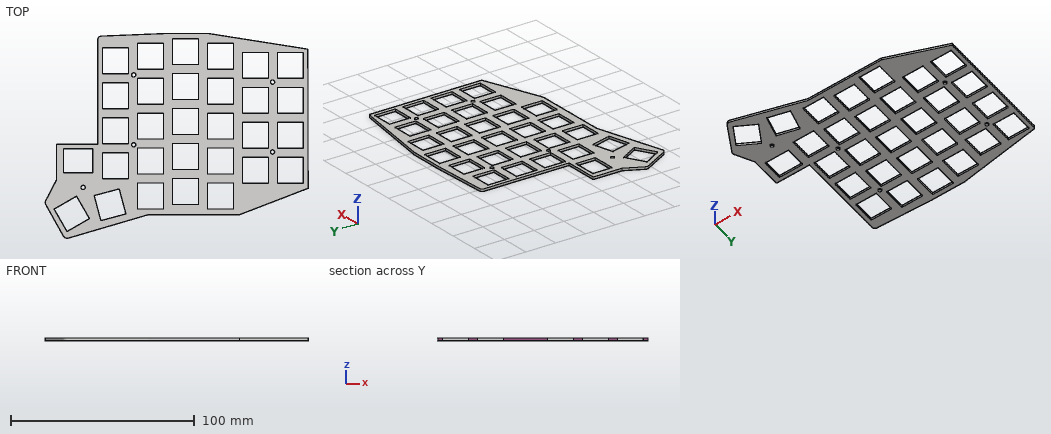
import cadquery as cq

thickness = 1.6
length = 143.37
width = 111.75
right_x = length / 2
top_y = width / 2

column_left_x = -43.1
lower_y = -43.0
upper_left = (column_left_x, 54.35)
top_left = (-5.0, top_y)
top_right = (17.1, top_y)
upper_right = (71.5, 47.3)
right_bottom = (right_x, -28.6)
bottom_right = (34.3, lower_y)
bottom_left = (-15.4, lower_y)

thumb_left_x = -65.6
thumb_top_y = -4.55
thumb_bottom = (-60.9, -56.33)
thumb_tip = (-72.02, -36.4)
thumb_neck = (thumb_left_x, -24.0)
thumb_upper_left = (thumb_left_x, thumb_top_y)
inner_corner = (column_left_x, thumb_top_y)

upper_left_radius = 2.0
upper_right_radius = 0.9
thumb_upper_left_radius = 0.5
thumb_end_radius = 2.5

key_size = 14.0
key_pitch = 19.05
first_column_x = -33.33
middle_row_y = 7.8
stagger_step = 2.5
long_column_rows = (2, 1, 0, -1, -2)
short_column_rows = (2, 1, 0, -1)

key_columns = [
    (short_column_rows, 2),
    (long_column_rows, 1),
    (long_column_rows, 0),
    (long_column_rows, 1),
    (short_column_rows, 3),
    (short_column_rows, 3),
]

key_opening = (key_size, key_size)
wide_opening = (15.8, 13.0)
thumb_openings = [
    ((-53.8, -13.6), wide_opening, 0),
    ((-36.35, -37.55), key_opening, 15),
    ((-57.2, -42.5), key_opening, 30),
]

screw_diameter = 2.2
screw_spacing = 2 * key_pitch
upper_screws = [(-23.45, 33.2), (52.2, 29.3)]
thumb_screw = (-51.0, -28.1)


def round_corner(plate, corner, radius):
    """Round the upright edge of the plate that stands on an outline corner."""
    x, y = corner
    nearest = cq.selectors.NearestToPointSelector((x, y, thickness / 2))
    return plate.edges("|Z").edges(nearest).fillet(radius)


def make_plate():
    outline = [
        upper_left,
        top_left,
        top_right,
        upper_right,
        right_bottom,
        bottom_right,
        bottom_left,
        thumb_bottom,
        thumb_tip,
        thumb_neck,
        thumb_upper_left,
        inner_corner,
    ]
    rounded_corners = [
        (upper_left, upper_left_radius),
        (upper_right, upper_right_radius),
        (thumb_upper_left, thumb_upper_left_radius),
        (thumb_tip, thumb_end_radius),
        (thumb_bottom, thumb_end_radius),
    ]
    plate = cq.Workplane("XY").polyline(outline).close().extrude(thickness)
    for corner, radius in rounded_corners:
        plate = round_corner(plate, corner, radius)
    return plate


def key_centers():
    centers = []
    for column, (rows, steps_down) in enumerate(key_columns):
        x = first_column_x + column * key_pitch
        for row in rows:
            y = middle_row_y + row * key_pitch - steps_down * stagger_step
            centers.append((x, y))
    return centers


def cut_keys(plate):
    openings = cq.Workplane("XY").pushPoints(key_centers()).rect(*key_opening).extrude(thickness)
    return plate.cut(openings)


def cut_thumb_openings(plate):
    for (x, y), size, tilt in thumb_openings:
        opening = cq.Workplane("XY").rect(*size).extrude(thickness)
        opening = opening.rotate((0, 0, 0), (0, 0, 1), tilt).translate((x, y, 0))
        plate = plate.cut(opening)
    return plate


def cut_screw_holes(plate):
    centers = [thumb_screw]
    for x, y in upper_screws:
        centers.append((x, y))
        centers.append((x, y - screw_spacing))
    holes = cq.Workplane("XY").pushPoints(centers).circle(screw_diameter / 2).extrude(thickness)
    return plate.cut(holes)


result = make_plate()
result = cut_keys(result)
result = cut_thumb_openings(result)
result = cut_screw_holes(result)